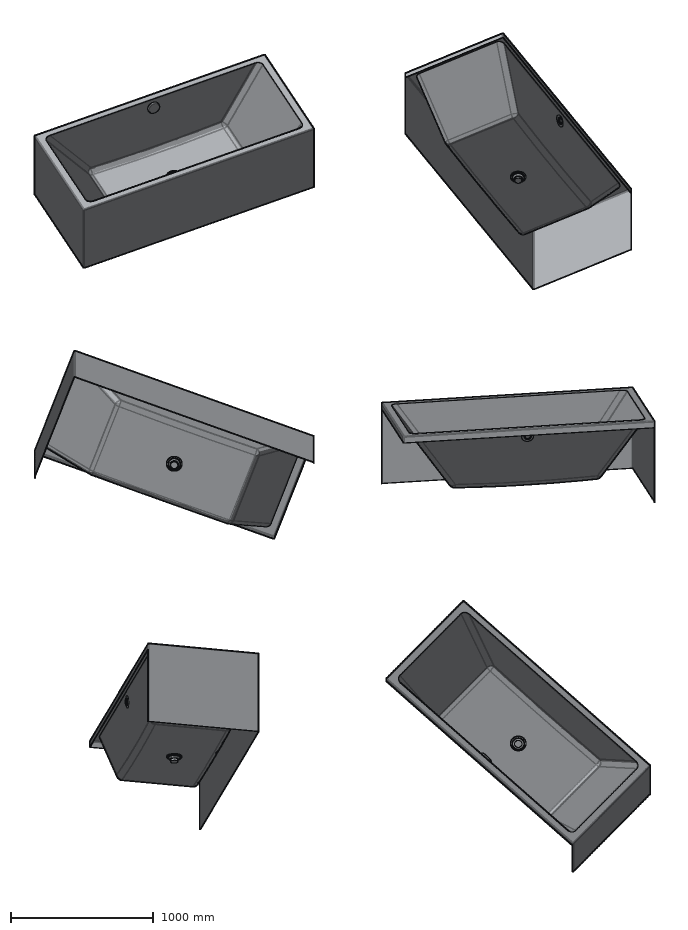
import cadquery as cq
import math

WIDTH = 801.0
LENGTH = 1800.0
HEIGHT = 600.0
SHEET = 5.0
EDGE_RADIUS = 8.1
LIP_DEPTH = 50.0

OPENING_WIDTH = 695.0
OPENING_LENGTH = 1681.0
SIDE_SLOPE = 0.136
END_SLOPE = 0.709
FLOOR_Z = 144.0
FLOOR_RISE = 13.0
BASIN_RADIUS = 36.0
OPENING_RADIUS = 5.0

DISH_DIAMETER = 110.0
DISH_DEPTH = 5.0
PAN_BASE_DIAMETER = 61.0
PAN_BASE_Z = 120.0
DRAIN_DIAMETER = 88.0
DRAIN_HEIGHT = 5.0
DRAIN_TOP_Z = FLOOR_Z - DISH_DEPTH
PIPE_DIAMETER = 52.0
PIPE_END_Z = 105.0
PLUG_DIAMETER = 81.0
PLUG_HEIGHT = 4.0

OVERFLOW_Z = 527.0
COVER_DIAMETER = 88.0
COVER_HEIGHT = 16.0
COVER_RADIUS = 4.0
STUB_DIAMETER = 52.0
STUB_LENGTH = 5.0
STUB_CHAMFER = 4.0
OUTLET_DIAMETER = 38.0
OUTLET_DEPTH = 4.0


def cylinder(diameter, bottom, top):
    return cq.Workplane("XY").workplane(offset=bottom).circle(diameter / 2).extrude(top - bottom)


def cone(bottom_diameter, top_diameter, bottom, top):
    lower = cq.Workplane("XY").workplane(offset=bottom).circle(bottom_diameter / 2)
    return lower.workplane(offset=top - bottom).circle(top_diameter / 2).loft()


def basin(growth):
    """Basin shape, its walls and floor moved outwards by growth from the inside surface."""
    side_top = OPENING_WIDTH / 2 + growth * math.hypot(1, SIDE_SLOPE)
    end_top = OPENING_LENGTH / 2 + growth * math.hypot(1, END_SLOPE)
    middle_z = FLOOR_Z - growth
    end_z = middle_z + FLOOR_RISE
    side_bottom = side_top - SIDE_SLOPE * HEIGHT
    end_bottom = end_top - END_SLOPE * (HEIGHT - end_z)

    across = (
        cq.Workplane("XZ")
        .polyline([(-side_top, HEIGHT), (-side_bottom, 0), (side_bottom, 0), (side_top, HEIGHT)])
        .close()
        .extrude(LENGTH / 2, both=True)
    )
    along = (
        cq.Workplane("YZ")
        .moveTo(-end_top, HEIGHT)
        .lineTo(-end_bottom, end_z)
        .threePointArc((0, middle_z), (end_bottom, end_z))
        .lineTo(end_top, HEIGHT)
        .close()
        .extrude(WIDTH / 2, both=True)
    )
    return across.intersect(along).edges("not >Z").fillet(BASIN_RADIUS + growth)


def rim_and_panels():
    """Hollow rim whose skirt reaches down to the ground along -Y and +X."""
    block = cq.Workplane("XY").box(WIDTH, LENGTH, HEIGHT, centered=(True, True, False))
    block = block.edges("|Z or >Z").fillet(EDGE_RADIUS)
    hollow = cq.Workplane("XY").box(
        WIDTH - 2 * SHEET, LENGTH - 2 * SHEET, HEIGHT - SHEET, centered=(True, True, False)
    )
    hollow = hollow.edges("|Z or >Z").fillet(EDGE_RADIUS - SHEET)
    open_sides = (
        cq.Workplane("XY")
        .box(WIDTH, LENGTH, HEIGHT - LIP_DEPTH, centered=(True, True, False))
        .translate((-EDGE_RADIUS, EDGE_RADIUS, 0))
    )
    return block.cut(hollow).cut(open_sides)


def make_tub():
    pan = cone(PAN_BASE_DIAMETER, DISH_DIAMETER + 2 * SHEET, PAN_BASE_Z, FLOOR_Z)
    dish_end_diameter = 2 * DISH_DIAMETER - DRAIN_DIAMETER
    dish = cone(DRAIN_DIAMETER, dish_end_diameter, DRAIN_TOP_Z, DRAIN_TOP_Z + 2 * DISH_DEPTH)
    tub = rim_and_panels().union(basin(SHEET)).union(pan).cut(basin(0)).cut(dish)
    opening = cq.selectors.BoxSelector(
        (-OPENING_WIDTH / 2 - SHEET, -OPENING_LENGTH / 2 - SHEET, HEIGHT - SHEET / 2),
        (OPENING_WIDTH / 2 + SHEET, OPENING_LENGTH / 2 + SHEET, HEIGHT + SHEET / 2),
    )
    return tub.edges(opening).fillet(OPENING_RADIUS)


def make_drain():
    flange = cylinder(DRAIN_DIAMETER, DRAIN_TOP_Z - DRAIN_HEIGHT, DRAIN_TOP_Z)
    return flange.union(cylinder(PIPE_DIAMETER, PIPE_END_Z, DRAIN_TOP_Z - DRAIN_HEIGHT))


def make_plug():
    return cylinder(PLUG_DIAMETER, DRAIN_TOP_Z - PLUG_HEIGHT, DRAIN_TOP_Z)


def make_overflow():
    """Round cover on the inside of the wall with a bored stub through the wall."""
    wall_x = -OPENING_WIDTH / 2 + SIDE_SLOPE * (HEIGHT - OVERFLOW_Z)
    wall = cq.Plane(origin=(wall_x, 0, OVERFLOW_Z), xDir=(0, 1, 0), normal=(1, 0, SIDE_SLOPE))
    cover = cq.Workplane(wall).circle(COVER_DIAMETER / 2).extrude(COVER_HEIGHT)
    cover = cover.faces(">X").edges().fillet(COVER_RADIUS)
    stub = cq.Workplane(wall).circle(STUB_DIAMETER / 2).extrude(-SHEET - STUB_LENGTH)
    stub = stub.faces("<X").edges().chamfer(STUB_CHAMFER)
    outlet = stub.faces("<X").workplane().circle(OUTLET_DIAMETER / 2).extrude(-OUTLET_DEPTH, combine=False)
    return cover.union(stub).cut(outlet)


plug = make_plug()
drain = make_drain().cut(plug)
overflow = make_overflow()
tub = make_tub().cut(drain).cut(plug).cut(overflow)

result = cq.Compound.makeCompound([tub.val(), drain.val(), plug.val(), overflow.val()])